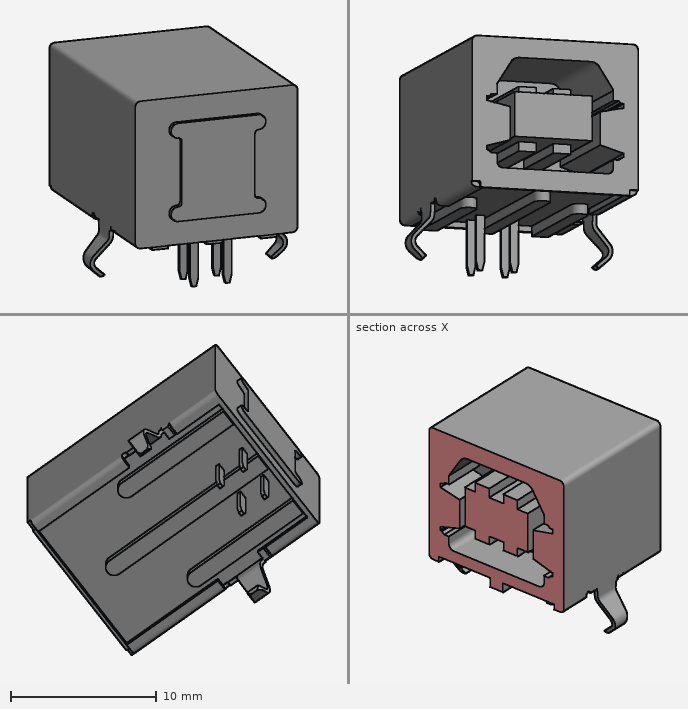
import cadquery as cq
import math


shell_length = 16.14
shell_width = 12.05
shell_top = 10.61
shell_bottom = 0.05
corner_radius = 0.4
sheet = 0.3
half_width = shell_width / 2

flange_thickness = 0.25
flange_notch_width = 0.61
flange_notch_top = 0.41
flange_notch_radius = 0.13

rear_thickness = 0.36
recess_ceiling = 0.46
recess_half_width = 5.12
rib_width = 1.17
rib_bottom = -0.26
rib_end = shell_length - rear_thickness
center_rib_start = 2.4
side_rib_start = 6.42
side_rib_y = 4.03

cavity_depth = 8.91
cavity_top = 9.22
cavity_bottom = 1.44
cavity_half_width = 4.22
cavity_top_radius = 0.75
cavity_bottom_radius = 0.45
cavity_outline = [
    (2.99, cavity_top),
    (cavity_half_width, 7.3),
    (cavity_half_width, 6.58),
    (4.6, 6.58),
    (4.72, 6.42),
    (4.97, 6.42),
    (4.97, 6.1),
    (3.27, 5.75),
    (3.27, 3.42),
    (4.97, 2.92),
    (4.97, 2.67),
    (4.83, 2.62),
    (4.62, 2.45),
    (cavity_half_width, 2.45),
    (cavity_half_width, cavity_bottom),
]

tongue_start = 0.43
tongue_width = 5.61
tongue_bottom = 3.76
tongue_top = 6.9
blade_start = 2.31
blade_width = 1.27
blade_bottom = 3.1
blade_top = 7.62
contact_y = 1.25

pin_y = 1.24
pin_rows = (12.99, 14.98)
pin_thickness = 0.26
pin_width = 0.6
pin_tip_width = 0.3
pin_taper_start = -2.79
lowest = -3.38

boss_thickness = 0.36
boss_center_z = 5.33
boss_half_size = 3.51
lobe_radius = 0.53
boss_fillet = 0.28

leg_center_y = half_width - sheet / 2
leg_top = 0.82
leg_span = 14.6
leg_outer_y = leg_span / 2
first_bend_start = -0.31
first_bend_radius = 0.66
second_bend_radius = 0.63
out_angle = math.radians(43)
back_angle = math.radians(48)

leg_center_x = 10.28
leg_root_half_width = 0.99
leg_tip_half_width = 0.45
leg_tip_radius = 0.38
leg_taper_start = -0.26
leg_left = 9.22
leg_ledge_start = 8.5
leg_ledge_z = 0.4
leg_shoulder_x = 11.5
leg_shoulder_z = 0.16

opening_start = 8.08
opening_end = 12.15
opening_ramp_start = 11.98
opening_ramp_top = 0.33
relief_height = 0.13

overlap = 0.16


def box(x_range, y_range, z_range):
    """Axis-aligned block between the given limits."""
    (x0, x1), (y0, y1), (z0, z1) = x_range, y_range, z_range
    return cq.Workplane("XY").box(x1 - x0, y1 - y0, z1 - z0, centered=False).translate((x0, y0, z0))


def both_sides(solid):
    """The solid joined with its mirror image in the symmetry plane."""
    return solid.union(solid.mirror("XZ"))


def make_shell():
    """Rounded block with a square-cornered flange at the mating face."""
    body = box((flange_thickness, shell_length), (-half_width, half_width), (shell_bottom, shell_top))
    body = body.edges("|X").fillet(corner_radius)
    flange = box((0, flange_thickness), (-half_width, half_width), (0, shell_top))
    flange = flange.edges("|X and >Z").fillet(corner_radius)
    notch_y = half_width - flange_notch_width
    notch = box((0, flange_thickness), (notch_y, half_width + overlap), (-overlap, flange_notch_top))
    notch = both_sides(notch.edges("|X and >Z and <Y").fillet(flange_notch_radius))
    return body.union(flange.cut(notch))


def make_recess():
    """Space under the housing between the two lips, closed by the flange and the rear wall."""
    x_range = (flange_thickness, rib_end)
    return box(x_range, (-recess_half_width, recess_half_width), (-overlap, recess_ceiling))


def make_rib(start, y):
    """Straight rib with a half-round front end."""
    radius = rib_width / 2
    top = recess_ceiling + overlap
    bar = box((start + radius, rib_end), (y - radius, y + radius), (rib_bottom, top))
    nose = cq.Workplane("XY", origin=(start + radius, y, rib_bottom)).circle(radius).extrude(top - rib_bottom)
    return bar.union(nose)


def make_cavity():
    """Plug opening with rounded upper and lower corners."""
    mirrored = [(-y, z) for y, z in reversed(cavity_outline)]
    cavity = cq.Workplane("YZ").polyline(cavity_outline + mirrored).close().extrude(cavity_depth)
    cavity = cavity.edges("|X and >Z").fillet(cavity_top_radius)
    return cavity.edges("|X and <Z").fillet(cavity_bottom_radius)


def make_tongue():
    """Central tongue with two contact blades passing through it."""
    end = cavity_depth + overlap
    tongue = box((tongue_start, end), (-tongue_width / 2, tongue_width / 2), (tongue_bottom, tongue_top))
    y_range = (contact_y - blade_width / 2, contact_y + blade_width / 2)
    return tongue.union(both_sides(box((blade_start, end), y_range, (blade_bottom, blade_top))))


def make_pin(x, y):
    """Flat solder pin, tapered at the tip."""
    half = pin_width / 2
    tip = pin_tip_width / 2
    outline = [
        (y - half, recess_ceiling + overlap),
        (y - half, pin_taper_start),
        (y - tip, lowest),
        (y + tip, lowest),
        (y + half, pin_taper_start),
        (y + half, recess_ceiling + overlap),
    ]
    plane = cq.Workplane("YZ", origin=(x - pin_thickness / 2, 0, 0))
    return plane.polyline(outline).close().extrude(pin_thickness)


def make_boss():
    """Square pad with a rounded lobe at each corner and sides that step in between the lobes."""
    lobe_edge = boss_half_size - lobe_radius
    lobe_inner = lobe_edge - lobe_radius
    waist = lobe_edge - boss_fillet
    thickness = boss_thickness + overlap
    half_outline = (
        cq.Workplane("YZ", origin=(shell_length - overlap, 0, boss_center_z))
        .moveTo(0, boss_half_size)
        .lineTo(lobe_edge, boss_half_size)
        .tangentArcPoint((boss_half_size, lobe_edge), relative=False)
        .tangentArcPoint((lobe_edge, lobe_inner), relative=False)
        .radiusArc((waist, lobe_inner - boss_fillet), -boss_fillet)
        .lineTo(waist, boss_fillet - lobe_inner)
        .radiusArc((lobe_edge, -lobe_inner), -boss_fillet)
        .tangentArcPoint((boss_half_size, -lobe_edge), relative=False)
        .tangentArcPoint((lobe_edge, -boss_half_size), relative=False)
        .lineTo(0, -boss_half_size)
    )
    return both_sides(half_outline.close().extrude(thickness))


def make_leg_strip():
    """Bent strip of the +Y leg, wider than the finished leg."""
    y1 = leg_center_y + first_bend_radius * (1 - math.cos(out_angle))
    z1 = first_bend_start - first_bend_radius * math.sin(out_angle)
    bend_y = leg_outer_y - sheet / 2 - second_bend_radius
    y2 = bend_y + second_bend_radius * math.cos(out_angle)
    z2 = z1 - (y2 - y1) / math.tan(out_angle)
    bend_z = z2 - second_bend_radius * math.sin(out_angle)
    y3 = bend_y + second_bend_radius * math.cos(back_angle)
    z3 = bend_z - second_bend_radius * math.sin(back_angle)
    z4 = lowest + sheet / 2 * math.sin(back_angle)
    y4 = y3 - (z3 - z4) * math.tan(back_angle)
    path = (
        cq.Workplane("YZ")
        .moveTo(leg_center_y, leg_top)
        .lineTo(leg_center_y, first_bend_start)
        .tangentArcPoint((y1, z1), relative=False)
        .lineTo(y2, z2)
        .tangentArcPoint((bend_y + second_bend_radius, bend_z), relative=False)
        .tangentArcPoint((y3, z3), relative=False)
        .lineTo(y4, z4)
    )
    strip_width = 2 * (opening_end - leg_center_x)
    section = cq.Workplane("XY", origin=(leg_center_x, leg_center_y, leg_top)).rect(strip_width, sheet)
    return section.sweep(path)


def side_prism(sketch):
    """Extrude an outline drawn in X and Z across the +Y side wall and lip."""
    return sketch.close().extrude(-(leg_outer_y - recess_half_width + overlap))


def side_plane():
    """Plane of X and Z at the inner edge of the +Y lip."""
    return cq.Workplane("XZ", origin=(0, recess_half_width - overlap, 0))


def make_leg():
    """The +Y leg: bent strip trimmed to its tapered outline."""
    root_left = leg_center_x - leg_root_half_width
    root_right = leg_center_x + leg_root_half_width
    shoulder_radius = leg_shoulder_x - root_right
    shoulder_start = (root_right, leg_shoulder_z - shoulder_radius)
    outline = side_prism(
        side_plane()
        .moveTo(leg_ledge_start, leg_top)
        .lineTo(leg_ledge_start, leg_ledge_z)
        .lineTo(leg_left, leg_ledge_z)
        .lineTo(root_left, leg_taper_start)
        .lineTo(leg_center_x - leg_tip_half_width, lowest)
        .lineTo(leg_center_x + leg_tip_half_width, lowest)
        .lineTo(root_right, leg_taper_start)
        .lineTo(*shoulder_start)
        .tangentArcPoint((leg_shoulder_x, leg_shoulder_z), relative=False)
        .lineTo(leg_shoulder_x, leg_top)
    )
    outline = outline.edges("|Y and <Z").fillet(leg_tip_radius)
    return make_leg_strip().intersect(outline)


def make_lip_opening():
    """Gap in the +Y lip around the leg, with an arched relief cut into the wall."""
    gap = side_prism(
        side_plane()
        .moveTo(opening_start, -overlap)
        .lineTo(opening_start, recess_ceiling)
        .lineTo(leg_shoulder_x, recess_ceiling)
        .lineTo(leg_shoulder_x, leg_shoulder_z)
        .lineTo(opening_ramp_start, leg_shoulder_z)
        .lineTo(opening_end, opening_ramp_top)
        .lineTo(opening_end, -overlap)
    )
    relief_middle = (opening_start + leg_ledge_start) / 2
    relief = (
        cq.Workplane("XZ", origin=(0, half_width - sheet, 0))
        .moveTo(opening_start, recess_ceiling)
        .threePointArc((relief_middle, recess_ceiling + relief_height), (leg_ledge_start, recess_ceiling))
        .close()
        .extrude(-(sheet + overlap))
    )
    return gap.union(relief)


result = make_shell().cut(make_recess()).cut(make_cavity()).cut(both_sides(make_lip_opening()))
result = result.union(make_tongue()).union(make_boss()).union(both_sides(make_leg()))
result = result.union(make_rib(center_rib_start, 0)).union(both_sides(make_rib(side_rib_start, side_rib_y)))

for row_x in pin_rows:
    result = result.union(both_sides(make_pin(row_x, pin_y)))